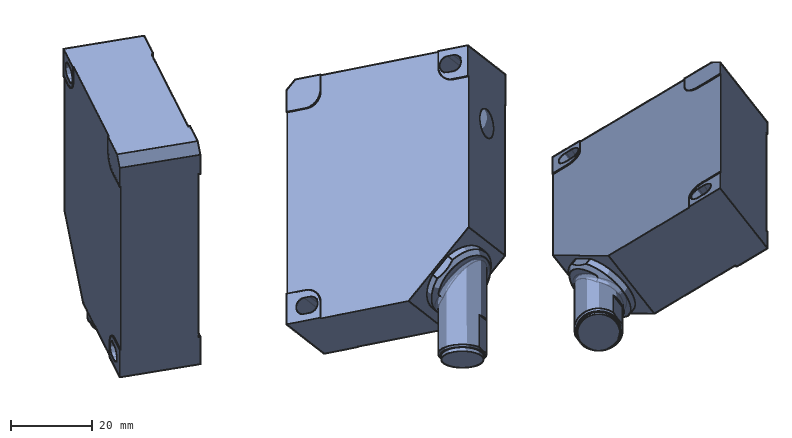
import cadquery as cq
import math

HOUSING_WIDTH = 49.9
HOUSING_DEPTH = 19.9
HOUSING_TOP = 78.7
HOUSING_HEIGHT = 64.95
HOUSING_BOTTOM = HOUSING_TOP - HOUSING_HEIGHT
AXIS_DEPTH = 10.1
OUTLET_CHAMFER = 16.5
TOP_CHAMFER = 2.45

PAD_HEIGHT = 8.2
PAD_RADIUS = 4.0
UPPER_PAD_WIDTH = 8.2
LOWER_PAD_WIDTH = 9.3
PLAIN_PAD_WIDTH = 10.6
FRONT_PAD_RISE = 0.2
BACK_PAD_RISE = 0.5

SLOT_LENGTH = 5.9
SLOT_WIDTH = 4.3
UPPER_SLOT_FROM_SIDE = 4.8
LOWER_SLOT_FROM_SIDE = 5.7
SLOT_FROM_END = 4.0

LENS_DIAMETER = 7.5
LENS_RISE = 0.95
LENS_HEIGHT = HOUSING_TOP - 17.0

RING_RADIUS = 9.45
RING_THICKNESS = 2.9
RING_CHAMFER = 1.1
RING_FLAT_DISTANCE = 9.0
TUBE_RADIUS = 6.0
TUBE_AXIS_X = 6.7
TUBE_START = 1.5
NECK_FILLET = 0.95
FLAT_DISTANCE = 5.7
FLAT_TOP = 10.1
TIP_RADIUS = 5.2
TIP_CHAMFER = 0.5

ON_TUBE_TOLERANCE = 0.001


def corner_pad(width, to_right, to_top, y_start, thickness):
    """Pad filling one housing corner, with its inner corner rounded."""
    center_x = HOUSING_WIDTH - width / 2 if to_right else width / 2
    center_z = HOUSING_TOP - PAD_HEIGHT / 2 if to_top else HOUSING_BOTTOM + PAD_HEIGHT / 2
    inner_corner = ("<X" if to_right else ">X") + " and " + ("<Z" if to_top else ">Z")
    return (
        cq.Workplane("XY")
        .box(width, thickness, PAD_HEIGHT)
        .edges(inner_corner)
        .fillet(PAD_RADIUS)
        .translate((center_x, y_start + thickness / 2, center_z))
    )


def front_pad(width, to_right, to_top):
    return corner_pad(width, to_right, to_top, -FRONT_PAD_RISE, FRONT_PAD_RISE)


def back_pad(width, to_right, to_top):
    return corner_pad(width, to_right, to_top, HOUSING_DEPTH, BACK_PAD_RISE)


def mounting_slot(x, z):
    """Cutter for a slot through the full depth, pads included."""
    length = HOUSING_DEPTH + 2 * (FRONT_PAD_RISE + BACK_PAD_RISE)
    return (
        cq.Workplane("XZ")
        .center(x, z)
        .slot2D(SLOT_LENGTH, SLOT_WIDTH)
        .extrude(length / 2, both=True)
        .translate((0, HOUSING_DEPTH / 2, 0))
    )


def outlet_corner_cut():
    """Wedge that bevels the lower left housing corner."""
    return (
        cq.Workplane("XZ")
        .moveTo(0, HOUSING_BOTTOM)
        .lineTo(OUTLET_CHAMFER, HOUSING_BOTTOM)
        .lineTo(0, HOUSING_BOTTOM + OUTLET_CHAMFER)
        .close()
        .extrude(-HOUSING_DEPTH)
    )


def top_corner_cut():
    """Wedge that bevels the upper right housing corner, pads included."""
    return (
        cq.Workplane("XZ")
        .moveTo(HOUSING_WIDTH, HOUSING_TOP)
        .lineTo(HOUSING_WIDTH - TOP_CHAMFER, HOUSING_TOP)
        .lineTo(HOUSING_WIDTH, HOUSING_TOP - TOP_CHAMFER)
        .close()
        .extrude(HOUSING_DEPTH + BACK_PAD_RISE, both=True)
    )


def indicator_lens():
    """Spherical cap bulging out of the left side."""
    rim = LENS_DIAMETER / 2
    sphere_radius = (rim**2 + LENS_RISE**2) / (2 * LENS_RISE)
    mid_rise = math.sqrt(sphere_radius**2 - (rim / 2) ** 2) - (sphere_radius - LENS_RISE)
    return (
        cq.Workplane("XY")
        .lineTo(0, rim)
        .threePointArc((-mid_rise, rim / 2), (-LENS_RISE, 0))
        .close()
        .revolve(360, (0, 0, 0), (1, 0, 0))
        .translate((0, AXIS_DEPTH, LENS_HEIGHT))
    )


def build_housing():
    block = cq.Workplane("XY").box(HOUSING_WIDTH, HOUSING_DEPTH, HOUSING_HEIGHT, centered=False)
    body = block.translate((0, 0, HOUSING_BOTTOM)).cut(outlet_corner_cut())
    body = body.union(front_pad(UPPER_PAD_WIDTH, False, True))
    body = body.union(front_pad(PLAIN_PAD_WIDTH, True, True))
    body = body.union(front_pad(LOWER_PAD_WIDTH, True, False))
    body = body.union(back_pad(UPPER_PAD_WIDTH, False, True))
    body = body.union(back_pad(LOWER_PAD_WIDTH, True, True))
    body = body.union(back_pad(LOWER_PAD_WIDTH, True, False))
    body = body.cut(top_corner_cut())
    body = body.cut(mounting_slot(UPPER_SLOT_FROM_SIDE, HOUSING_TOP - SLOT_FROM_END))
    body = body.cut(mounting_slot(HOUSING_WIDTH - LOWER_SLOT_FROM_SIDE, HOUSING_BOTTOM + SLOT_FROM_END))
    return body.union(indicator_lens())


def outlet_plane():
    """Workplane in the middle of the outlet bevel, its normal pointing out of the housing."""
    center = (OUTLET_CHAMFER / 2, AXIS_DEPTH, HOUSING_BOTTOM + OUTLET_CHAMFER / 2)
    return cq.Workplane(cq.Plane(origin=center, xDir=(0, 1, 0), normal=(-1, 0, -1)))


def connector_ring():
    """Ring with a chamfered outer rim and two side flats."""
    ring = outlet_plane().circle(RING_RADIUS).extrude(RING_THICKNESS)
    ring = ring.faces("<(1, 0, 1)").chamfer(RING_CHAMFER)
    flats = outlet_plane().rect(2 * RING_FLAT_DISTANCE, 2 * RING_RADIUS).extrude(RING_THICKNESS)
    return ring.intersect(flats)


def plain_tube(top):
    return (
        cq.Workplane("XY", origin=(TUBE_AXIS_X, AXIS_DEPTH, TUBE_START))
        .circle(TUBE_RADIUS)
        .extrude(top - TUBE_START)
    )


def is_root_edge(edge):
    """True for the curved edges where the tube surface meets the ring."""
    if edge.geomType() == "LINE":
        return False
    points = [edge.positionAt(step) for step in (0, 0.3, 0.5, 0.7, 1)]
    for point in points:
        radius = math.hypot(point.x - TUBE_AXIS_X, point.y - AXIS_DEPTH)
        if abs(radius - TUBE_RADIUS) > ON_TUBE_TOLERANCE:
            return False
    return points[1].z > FLAT_TOP


def tube_root():
    """Ring and tube joined by a fillet along their common edge."""
    ring_middle = outlet_plane().workplane(offset=RING_THICKNESS / 2)
    reach = 4 * RING_RADIUS
    housing_side = ring_middle.rect(reach, reach).extrude(-reach)
    tube = plain_tube(HOUSING_BOTTOM + OUTLET_CHAMFER).cut(housing_side)
    root = connector_ring().union(tube)
    root_edges = [edge for edge in root.edges().vals() if is_root_edge(edge)]
    return root.newObject(root_edges).fillet(NECK_FILLET)


def tube_tip():
    """Stepped lower end of the tube."""
    return (
        cq.Workplane("XZ")
        .moveTo(0, 0)
        .lineTo(TIP_RADIUS, 0)
        .lineTo(TIP_RADIUS, TUBE_START - TIP_CHAMFER)
        .lineTo(TUBE_RADIUS - TIP_CHAMFER, TUBE_START - TIP_CHAMFER)
        .lineTo(TUBE_RADIUS, TUBE_START)
        .lineTo(0, TUBE_START)
        .close()
        .revolve(360, (0, 0, 0), (0, 1, 0))
        .translate((TUBE_AXIS_X, AXIS_DEPTH, 0))
    )


def tube_flat_cut(side):
    """Cutter for one of the two flats on the lower part of the tube."""
    cut_depth = TUBE_RADIUS - FLAT_DISTANCE
    center_x = TUBE_AXIS_X + side * (FLAT_DISTANCE + cut_depth / 2)
    return (
        cq.Workplane("XY", origin=(center_x, AXIS_DEPTH, 0))
        .rect(cut_depth, 2 * TUBE_RADIUS)
        .extrude(FLAT_TOP)
    )


def build_connector():
    body = tube_root().union(tube_tip())
    for side in (-1, 1):
        body = body.cut(tube_flat_cut(side))
    return body


housing = build_housing()
connector = build_connector()
result = cq.Compound.makeCompound([housing.val(), connector.val()])